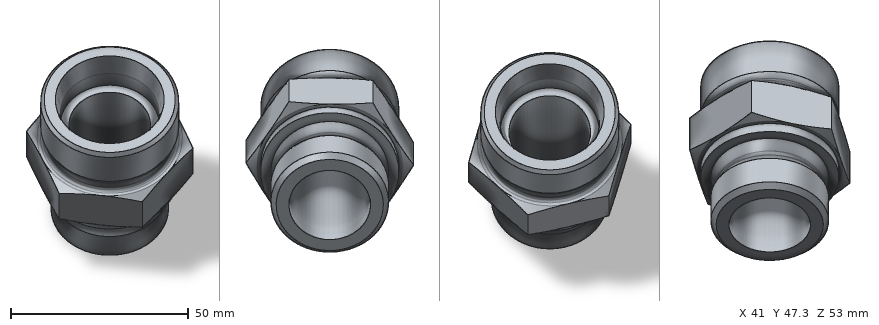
import cadquery as cq
import math

total_height = 53.0
hex_bottom = 21.0
hex_top = 35.05
collar_bottom = 17.95
lower_thread_top = 10.45
lower_neck_bottom = 13.05
lower_neck_top = 14.5
upper_thread_bottom = 40.6

hex_across_flats = 41.0
upper_thread_diameter = 39.0
upper_neck_diameter = 36.7
collar_diameter = upper_thread_diameter
lower_thread_diameter = 33.25
lower_neck_diameter = 30.2

upper_chamfer = 1.0
lower_chamfer_width = 1.5
lower_chamfer_height = 1.55
neck_fillet = 1.2
upper_runout_angle = 30.0
upper_runout_blend = 1.25
lower_neck_blend = 1.6
hex_chamfer_angle = 18.0

bore_diameter = 23.0
socket_diameter = 28.0
socket_mouth_diameter = 30.75
socket_cone_depth = 6.45
socket_depth = 12.05


def make_hexagon():
    """Hexagon with flats facing +/-X and conically chamfered corners."""
    height = hex_top - hex_bottom
    flat_radius = hex_across_flats / 2
    corner_radius = flat_radius / math.cos(math.radians(30))
    prism = (
        cq.Workplane("XY", origin=(0, 0, hex_bottom))
        .polygon(6, 2 * corner_radius)
        .extrude(height)
        .rotate((0, 0, 0), (0, 0, 1), 30)
    )
    corner_drop = (corner_radius - flat_radius) * math.tan(math.radians(hex_chamfer_angle))
    chamfer_envelope = (
        cq.Workplane("XZ")
        .moveTo(0, hex_bottom)
        .lineTo(flat_radius, hex_bottom)
        .lineTo(corner_radius, hex_bottom + corner_drop)
        .lineTo(corner_radius, hex_top - corner_drop)
        .lineTo(flat_radius, hex_top)
        .lineTo(0, hex_top)
        .close()
        .revolve(360, (0, 0), (0, 1))
    )
    return prism.intersect(chamfer_envelope)


def make_turned_body():
    """Both threaded ends with their necks, and the collar below the hexagon."""
    upper_radius = upper_thread_diameter / 2
    upper_neck_radius = upper_neck_diameter / 2
    lower_radius = lower_thread_diameter / 2
    lower_neck_radius = lower_neck_diameter / 2
    collar_radius = collar_diameter / 2
    neck_bottom = hex_top + neck_fillet

    runout_angle = math.radians(upper_runout_angle)
    runout_corner = upper_thread_bottom - (upper_radius - upper_neck_radius) / math.tan(runout_angle)
    blend_length = upper_runout_blend * math.tan(runout_angle / 2)
    blend_top_radius = upper_neck_radius + blend_length * math.sin(runout_angle)
    blend_top = runout_corner + blend_length * math.cos(runout_angle)

    return (
        cq.Workplane("XZ")
        .lineTo(lower_radius - lower_chamfer_width, 0)
        .lineTo(lower_radius, lower_chamfer_height)
        .lineTo(lower_radius, lower_thread_top)
        .lineTo(lower_neck_radius, lower_neck_bottom)
        .radiusArc((lower_neck_radius, lower_neck_top), lower_neck_blend)
        .lineTo(lower_radius, collar_bottom)
        .lineTo(collar_radius, collar_bottom)
        .lineTo(collar_radius, hex_top)
        .lineTo(upper_neck_radius + neck_fillet, hex_top)
        .radiusArc((upper_neck_radius, neck_bottom), neck_fillet)
        .lineTo(upper_neck_radius, runout_corner - blend_length)
        .radiusArc((blend_top_radius, blend_top), upper_runout_blend)
        .lineTo(upper_radius, upper_thread_bottom)
        .lineTo(upper_radius, total_height - upper_chamfer)
        .lineTo(upper_radius - upper_chamfer, total_height)
        .lineTo(0, total_height)
        .close()
        .revolve(360, (0, 0), (0, 1))
    )


def make_bore():
    """Through bore opening into a stepped socket with a conical mouth."""
    bore_radius = bore_diameter / 2
    socket_radius = socket_diameter / 2
    return (
        cq.Workplane("XZ")
        .lineTo(bore_radius, 0)
        .lineTo(bore_radius, total_height - socket_depth)
        .lineTo(socket_radius, total_height - socket_depth)
        .lineTo(socket_radius, total_height - socket_cone_depth)
        .lineTo(socket_mouth_diameter / 2, total_height)
        .lineTo(0, total_height)
        .close()
        .revolve(360, (0, 0), (0, 1))
    )


result = make_turned_body().union(make_hexagon()).cut(make_bore())